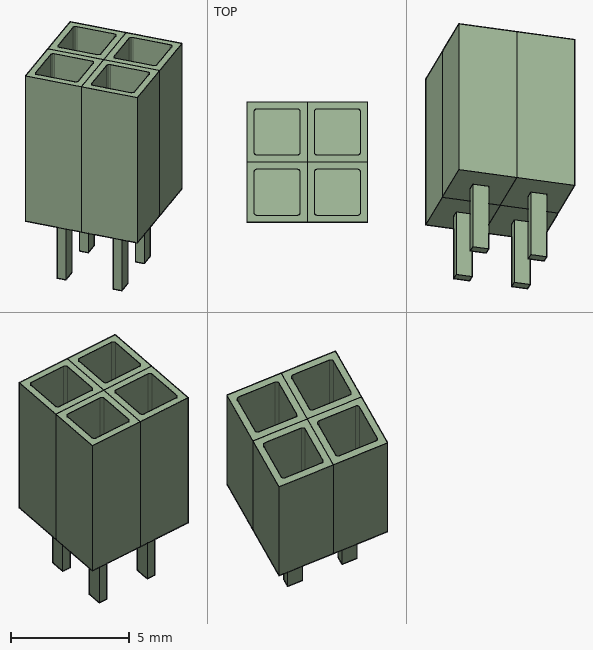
import cadquery as cq

columns = 2
rows = 2
pitch = 2.54

housing_height = 7.0
wall = 0.3
floor = wall
cavity_width = pitch - 2 * wall
cavity_depth = housing_height - floor
cavity_corner_radius = 0.12

pin_thickness = 0.4
pin_width = 0.7
pin_length = 3.0


def make_housing(x, y):
    """Housing centred on (x, y), standing on Z = 0."""
    block = cq.Workplane("XY").box(pitch, pitch, housing_height, centered=(True, True, False))
    cavity = (
        cq.Workplane("XY")
        .workplane(offset=floor)
        .rect(cavity_width, cavity_width)
        .extrude(cavity_depth)
        .edges("|Z")
        .fillet(cavity_corner_radius)
    )
    return block.cut(cavity).translate((x, y, 0))


def make_pin(x, y):
    """Pin centred on (x, y), hanging from the underside of the housing."""
    pin = cq.Workplane("XY").rect(pin_thickness, pin_width).extrude(-pin_length)
    return pin.translate((x, y, 0))


bodies = []
for column in range(columns):
    for row in range(rows):
        x = (column - (columns - 1) / 2) * pitch
        y = (row - (rows - 1) / 2) * pitch
        bodies.append(make_housing(x, y).val())
        bodies.append(make_pin(x, y).val())

result = cq.Compound.makeCompound(bodies)